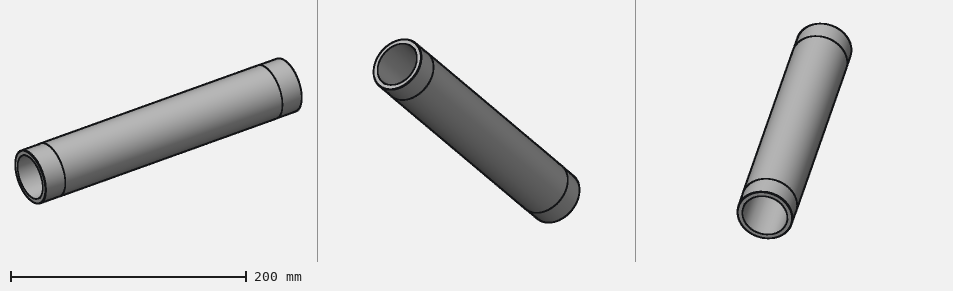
import cadquery as cq

length = 260.0
body_diameter = 48.0
end_diameter = 47.8
bore_diameter = 39.0
end_length = 20.0
end_chamfer = 0.5


def cylinder_along_y(diameter, cylinder_length):
    """Cylinder centred on the origin with its axis along Y."""
    start = cq.Workplane("XZ", origin=(0, cylinder_length / 2, 0))
    return start.circle(diameter / 2).extrude(cylinder_length)


core = cylinder_along_y(end_diameter, length).edges("%CIRCLE").chamfer(end_chamfer)

body = cylinder_along_y(body_diameter, length - 2 * end_length)

bore = cylinder_along_y(bore_diameter, length)

result = core.union(body).cut(bore)